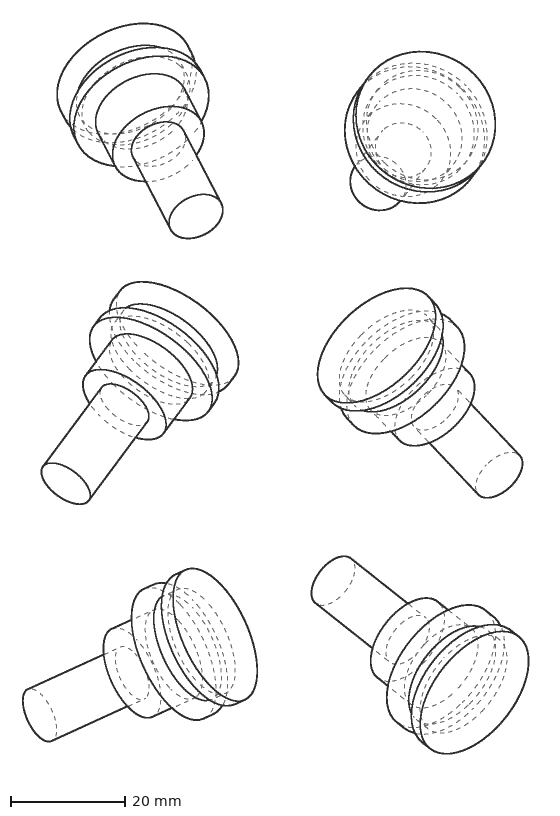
import cadquery as cq

total_length = 38.0
head_diameter = 25.0
groove_diameter = 20.0
hub_diameter = 17.0
shaft_diameter = 10.0

land_width = 3.0
hub_length = 9.0
groove_edge_radius = 1.0

head_length = 3 * land_width
shaft_start = head_length + hub_length


def cylinder(start, length, diameter):
    """Solid cylinder along +X, beginning at the given X position."""
    return cq.Workplane("YZ", origin=(start, 0, 0)).circle(diameter / 2).extrude(length)


front_land = cylinder(0, land_width, head_diameter).edges(">X").fillet(groove_edge_radius)
rear_land = cylinder(2 * land_width, land_width, head_diameter).edges("<X").fillet(groove_edge_radius)

groove_core = cylinder(land_width, land_width, groove_diameter)
hub = cylinder(head_length, hub_length, hub_diameter)
shaft = cylinder(shaft_start, total_length - shaft_start, shaft_diameter)

result = front_land.union(groove_core).union(rear_land).union(hub).union(shaft)